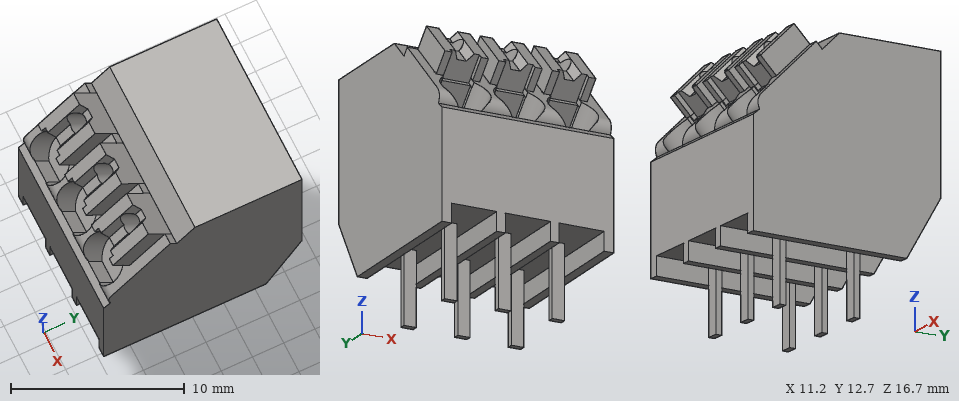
import cadquery as cq
import math


overall_height = 16.66

pole_count = 3
pitch = 3.5
housing_width = 11.2
pole_xs = [(i - (pole_count - 1) / 2) * pitch for i in range(pole_count)]

housing_depth = 12.7
housing_bottom = 3.52
housing_top = 16.35
back_chamfer_depth = 2.3
back_chamfer_top = 7.5
lip_front_z = 10.53
lip_back_y = 0.43
lip_back_z = 10.9
bead_start_y = 0.55
face_height_at_front = 11.33
notch_depth = 0.58

slot_width = 2.93
slot_ceiling = 4.73

entry_center_y = 0.97
entry_offset_x = -0.05
entry_radius = 1.57
entry_depth = 1.87
entry_top_width = 1.97
entry_bottom_reach = 1.38

button_width = 2.83
button_front = 1.45
button_height = 1.52
relief_width = 1.9
relief_depth = 0.33
ledge_depth = 0.33
groove_top_width = 1.23
groove_floor_width = 0.6
groove_depth = 0.53
tool_hole_diameter = 1.2
tool_hole_offset = 3.62

pin_width = 0.8
pin_thickness = 0.4
pin_ys = [3.07, 8.06]

entry_center_z = face_height_at_front + entry_center_y
button_back = (overall_height - entry_center_z) * math.sqrt(2) - button_height
button_length = button_back - button_front
relief_wall = button_front + relief_depth


def face_frame(x):
    """Workplane on the 45 degree face at a pole: local X along the row, local Y up the face."""
    origin = (x, entry_center_y, entry_center_z)
    return cq.Workplane(cq.Plane(origin=origin, xDir=(1, 0, 0), normal=(0, -1, 1)))


def face_block(x, width, start, end, bottom, top):
    """Box square to the face, from start to end up the face and bottom to top along its normal."""
    return (
        face_frame(x)
        .workplane(offset=bottom)
        .center(0, (start + end) / 2)
        .rect(width, end - start)
        .extrude(top - bottom)
    )


def side_point(along, normal):
    """(Y, Z) of a point given its distances up the face and out from it."""
    y = entry_center_y + (along - normal) / math.sqrt(2)
    z = entry_center_z + (along + normal) / math.sqrt(2)
    return y, z


def make_housing_blank():
    face_top = side_point(button_back, 0)
    notch_bottom = side_point(button_back, -notch_depth)
    ramp_top_y = notch_bottom[0] + housing_top - notch_bottom[1]
    return (
        cq.Workplane("YZ")
        .moveTo(0, housing_bottom)
        .lineTo(housing_depth - back_chamfer_depth, housing_bottom)
        .lineTo(housing_depth, back_chamfer_top)
        .lineTo(housing_depth, housing_top)
        .lineTo(ramp_top_y, housing_top)
        .lineTo(*notch_bottom)
        .lineTo(*face_top)
        .lineTo(bead_start_y, face_height_at_front + bead_start_y)
        .tangentArcPoint((lip_back_y, lip_back_z), relative=False)
        .lineTo(0, lip_front_z)
        .close()
        .extrude(housing_width / 2, both=True)
    )


def underside_slot(x):
    height = slot_ceiling - housing_bottom
    return (
        cq.Workplane("XY", origin=(x, housing_depth / 2, housing_bottom))
        .box(slot_width, housing_depth, height, centered=(True, True, False))
    )


def entry_pocket(x):
    """Round wire entry cut flat at top and bottom and squared out above its centre."""
    center_x = x + entry_offset_x
    round_part = (
        face_frame(center_x)
        .workplane(offset=-entry_depth)
        .circle(entry_radius)
        .extrude(2 * entry_depth)
    )
    diameter = 2 * entry_radius
    flats = face_block(center_x, diameter, -entry_bottom_reach, button_front, -entry_depth, entry_depth)
    upper_part = face_block(center_x, entry_top_width, 0, button_front, -entry_depth, entry_depth)
    return round_part.intersect(flats).union(upper_part)


def entry_ledge(x):
    """Shallow channel in the face that joins an entry to the relief in its button."""
    return face_block(x, relief_width, 0, relief_wall, -ledge_depth, 0)


def button_seat(x):
    """Recess in the face, open to the V notch, that the foot of a button fills."""
    return face_block(x, button_width, relief_wall, button_back, -notch_depth, 0)


def make_housing():
    housing = make_housing_blank()
    for x in pole_xs:
        housing = housing.cut(underside_slot(x)).cut(entry_pocket(x))
        housing = housing.cut(entry_ledge(x)).cut(button_seat(x))
    return housing


def finger_groove(x):
    """Groove with sloping sides along the whole top of a button."""
    half_top = groove_top_width / 2
    half_floor = groove_floor_width / 2
    front_edge = (x, *side_point(button_front, button_height))
    section = cq.Plane(origin=front_edge, xDir=(1, 0, 0), normal=(0, -1, -1))
    return (
        cq.Workplane(section)
        .polyline([
            (-half_top, 0),
            (-half_floor, -groove_depth),
            (half_floor, -groove_depth),
            (half_top, 0),
        ])
        .close()
        .extrude(-button_length)
    )


def make_button(x):
    head = face_block(x, button_width, button_front, button_back, 0, button_height)
    relief = face_block(x, relief_width, button_front, relief_wall, 0, button_height)
    tool_hole = (
        face_frame(x)
        .workplane(offset=-notch_depth)
        .center(0, tool_hole_offset)
        .circle(tool_hole_diameter / 2)
        .extrude(notch_depth + button_height)
    )
    return head.cut(relief).union(button_seat(x)).cut(finger_groove(x)).cut(tool_hole)


def make_pin(x, y):
    return (
        cq.Workplane("XY", origin=(x, y, 0))
        .box(pin_width, pin_thickness, slot_ceiling, centered=(True, True, False))
    )


housing = make_housing()
buttons = [make_button(x) for x in pole_xs]
pins = [make_pin(x, y) for x in pole_xs for y in pin_ys]

result = cq.Compound.makeCompound([
    housing.val(),
    *[button.val() for button in buttons],
    *[pin.val() for pin in pins],
])